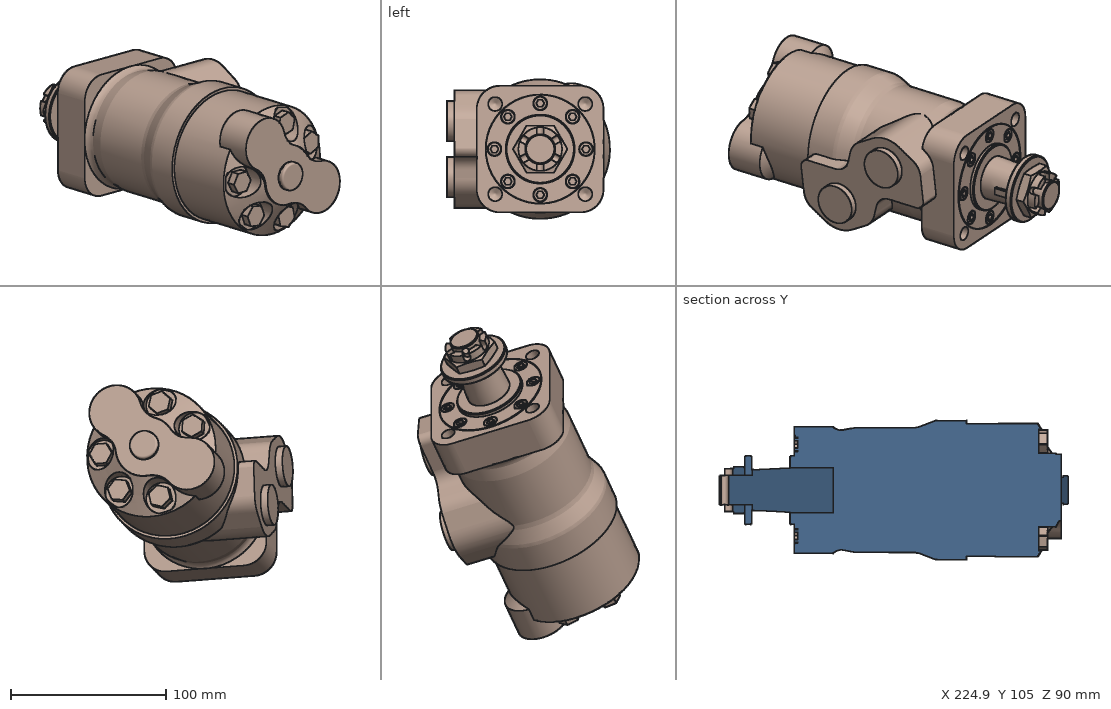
import cadquery as cq
import math


flange_width = 81.6
flange_thickness = 25.2
flange_corner_radius = 14.8
mount_hole_dia = 9
mount_hole_depth = 18
mount_hole_offset = 29.0
tip_angle = 118

cover_dia = 70.0
cover_gap = 0.2
cover_gap_depth = 0.5
screw_count = 8
screw_circle_radius = 29.5
screw_hole_dia = 9
screw_head_dia = 8.3
screw_recess_depth = 2.2
screw_socket_width = 4.5
seal_ring_dia = 44.5
seal_ring_height = 2.7
seal_ring_chamfer = 0.7

neck_radius = 38.7
neck_fillet_height = 2.2
neck_end = 30.5
barrel_start = 39.1
barrel_radius = 40.3
barrel_end = 79.0
collar_start = 91.0
collar_radius = 45
collar_end = 111.0
barrel_blend_radius = 9
collar_blend_radius = 6.7

cap_radius = 86.0 / 2
cap_rim = 157.0
hub_start = 171
hub_radius = 19.8
bolt_count = 7
bolt_circle_radius = 32.2
bolt_pocket_radius = 10.3
bolt_pocket_floor = 157.7
bolt_head_width = 13.0
bolt_head_height = 5.6

boss_radius = 17.3
boss_rim = 147.8
rear_face = 172.0
boss_places = (3, 6)
boss_fillet = 16.2

block_center = 61.6
block_face = 55.3
block_half_outline = [
    (-47.7, 0.5, 5.6),
    (-45.5, 19.3, 0),
    (-39.4, 28.3, 12.5),
    (-28.1, 35.3, 0),
    (-7.9, 35.3, 20.2),
    (3.5, 28.8, 0),
    (9.7, 18.7, 15.0),
    (11.0, 13.0, 0),
    (20.5, 5.0, -10.3),
    (42.0, 5.0, 0),
]
port_dia = 26.0
port_height = 4.7
port_offset = 18

shaft_tip = -48.1
thread_dia = 19.3
thread_chamfer = 0.7
taper_start_radius = 13.3
taper_end = -4.0
journal_radius = 14.5
split_pin_hole_dia = 4.5
split_pin_hole_x = -44.5

crown_face = -44.8
hex_face = -39.1
nut_rear = -32.0
crown_dia = 28.1
nut_width = 30.4
nut_chamfer = 1.0
slot_count = 6
slot_width = 4.5
slot_depth = 5.2
washer_dia = 44.5
washer_rear = -27.2
washer_chamfer = 0.7

key_width = 4.5
key_length = 12.8
key_bottom = 10.5
key_top = 15.5

plug_neck_dia = 17.0
plug_head_dia = 18.7
plug_head_start = 173.2
plug_end = 176.8
plug_round = 1.3


def rod(start, end, dia, y=0, z=0):
    """Cylinder parallel to X from start to end."""
    return cq.Workplane("YZ", origin=(start, y, z)).circle(dia / 2).extrude(end - start)


def hex_rod(start, end, width, y=0, z=0, turn=0):
    """Hexagonal prism parallel to X, with a corner toward +Y before it is turned."""
    plane = cq.Workplane("YZ", origin=(start, y, z)).transformed(rotate=(0, 0, turn))
    return plane.polygon(6, width / math.cos(math.pi / 6)).extrude(end - start)


def revolved(points):
    """Solid of revolution about X from a closed outline of (x, radius) points."""
    return cq.Workplane("XY").polyline(points).close().revolve(360, (0, 0), (1, 0))


def bolt_place(number):
    """Y, Z and angle of one of the evenly spaced cap bolts, counted from the -Y side."""
    angle = 180 + number * 360 / bolt_count
    turn = math.radians(angle)
    return bolt_circle_radius * math.cos(turn), bolt_circle_radius * math.sin(turn), angle


def make_barrel():
    barrel = revolved(
        [
            (0, 0),
            (0, neck_radius),
            (neck_end, neck_radius),
            (barrel_start, barrel_radius),
            (barrel_end, barrel_radius),
            (collar_start, collar_radius),
            (collar_end, collar_radius),
            (collar_end, cap_radius),
            (cap_rim, cap_radius),
            (hub_start, hub_radius),
            (rear_face, hub_radius),
            (rear_face, 0),
        ]
    )
    for corner_x, radius in ((barrel_end, barrel_blend_radius), (collar_start, collar_blend_radius)):
        corner = cq.selectors.NearestToPointSelector((corner_x, 0, 0))
        barrel = barrel.edges("%CIRCLE").edges(corner).fillet(radius)
    return barrel


def make_neck_fillet():
    """Concave ring from the rear face of the flange down to the end of the neck."""
    length = neck_end - flange_thickness
    radius = (length**2 + neck_fillet_height**2) / (2 * neck_fillet_height)
    return (
        cq.Workplane("XY")
        .moveTo(flange_thickness, 0)
        .lineTo(flange_thickness, neck_radius + neck_fillet_height)
        .radiusArc((neck_end, neck_radius), -radius)
        .lineTo(neck_end, 0)
        .close()
        .revolve(360, (0, 0), (1, 0))
    )


def make_flange():
    flange = cq.Workplane("YZ").rect(flange_width, flange_width).extrude(flange_thickness)
    return flange.edges("|X").fillet(flange_corner_radius)


def make_port_block():
    half = block_half_outline
    points = half + [(-x, -z, radius) for x, z, radius in half]
    outline = cq.Workplane("XZ", origin=(block_center, 0, 0)).moveTo(*points[-1][:2])
    for x, z, radius in points:
        if radius:
            outline = outline.radiusArc((x, z), radius)
        else:
            outline = outline.lineTo(x, z)
    block = outline.close().extrude(-block_face)
    for side in (-1, 1):
        port = (
            cq.Workplane("XZ", origin=(block_center + side * port_offset, block_face, -side * port_offset))
            .circle(port_dia / 2)
            .extrude(-port_height)
        )
        block = block.union(port)
    return block


def make_rear_boss(number):
    """Round boss with a conical front end that runs into the cap."""
    tip = boss_rim - boss_radius / math.tan(math.radians(tip_angle / 2))
    y, z, _ = bolt_place(number)
    boss = revolved([(tip, 0), (boss_rim, boss_radius), (rear_face, boss_radius), (rear_face, 0)])
    return boss.translate((0, y, z))


def make_boss_fillets(number):
    """Hollow blends between the hub and the two sides of a rear boss."""
    y, z, angle = bolt_place(number)
    hub_side = hub_radius + boss_fillet
    boss_side = boss_radius + boss_fillet
    cosine = (hub_side**2 + bolt_circle_radius**2 - boss_side**2) / (2 * hub_side * bolt_circle_radius)
    swing = math.acos(cosine)
    fillets = cq.Workplane("YZ")
    for side in (-1, 1):
        turn = math.radians(angle) + side * swing
        center = (hub_side * math.cos(turn), hub_side * math.sin(turn))
        web = (
            cq.Workplane("YZ", origin=(cap_rim, 0, 0))
            .polyline([(0, 0), center, (y, z)])
            .close()
            .extrude(rear_face - cap_rim)
        )
        fillets = fillets.add(web.cut(rod(cap_rim, rear_face, 2 * boss_fillet, *center)))
    return fillets.combine()


def add_cap_bolts(body):
    """Round pockets in the cone of the cap, each with a hexagonal bolt head in it."""
    head_end = bolt_pocket_floor + bolt_head_height
    places = [bolt_place(number) for number in range(bolt_count) if number not in boss_places]
    for y, z, _ in places:
        body = body.cut(rod(bolt_pocket_floor, rear_face, 2 * bolt_pocket_radius, y, z))
    for y, z, angle in places:
        body = body.union(hex_rod(bolt_pocket_floor, head_end, bolt_head_width, y, z, angle))
    return body


def cut_mount_holes(body):
    tip_x = mount_hole_depth + mount_hole_dia / 2 / math.tan(math.radians(tip_angle / 2))
    radius = mount_hole_dia / 2
    hole = revolved([(0, 0), (0, radius), (mount_hole_depth, radius), (tip_x, 0)])
    for y in (-mount_hole_offset, mount_hole_offset):
        for z in (-mount_hole_offset, mount_hole_offset):
            body = body.cut(hole.translate((0, y, z)))
    return body


def cut_front_cover(body):
    """Gap around the cover, and ring gaps and sockets of the cover screws."""
    gap = rod(0, cover_gap_depth, cover_dia + 2 * cover_gap).cut(rod(0, cover_gap_depth, cover_dia))
    body = body.cut(gap)
    for number in range(screw_count):
        turn = 2 * math.pi * number / screw_count
        y = screw_circle_radius * math.cos(turn)
        z = screw_circle_radius * math.sin(turn)
        ring = rod(0, screw_recess_depth, screw_hole_dia, y, z)
        ring = ring.cut(rod(0, screw_recess_depth, screw_head_dia, y, z))
        body = body.cut(ring).cut(hex_rod(0, screw_recess_depth, screw_socket_width, y, z))
    return body


def make_housing():
    housing = make_barrel().union(make_flange()).union(make_neck_fillet()).union(make_port_block())
    for number in boss_places:
        housing = housing.union(make_rear_boss(number)).union(make_boss_fillets(number))
    housing = add_cap_bolts(housing)
    housing = cut_front_cover(cut_mount_holes(housing))
    seal_ring = rod(-seal_ring_height, 0, seal_ring_dia).edges("<X").chamfer(seal_ring_chamfer)
    housing = housing.union(seal_ring)
    return housing.cut(rod(-seal_ring_height, flange_thickness, 2 * journal_radius))


def make_key():
    return cq.Workplane("XY").box(key_length, key_top - key_bottom, key_width).translate(
        (washer_rear + key_length / 2, (key_top + key_bottom) / 2, 0)
    )


def make_shaft(key):
    thread_radius = thread_dia / 2
    shaft = revolved(
        [
            (shaft_tip, 0),
            (shaft_tip, thread_radius - thread_chamfer),
            (shaft_tip + thread_chamfer, thread_radius),
            (washer_rear, thread_radius),
            (washer_rear, taper_start_radius),
            (taper_end, journal_radius),
            (flange_thickness, journal_radius),
            (flange_thickness, 0),
        ]
    )
    pin_hole = (
        cq.Workplane("XY", origin=(split_pin_hole_x, 0, 0))
        .circle(split_pin_hole_dia / 2)
        .extrude(thread_dia, both=True)
    )
    return shaft.cut(pin_hole).cut(key)


def make_washer():
    washer = rod(nut_rear, washer_rear, washer_dia).edges().chamfer(washer_chamfer)
    return washer.cut(rod(nut_rear, washer_rear, thread_dia))


def make_nut():
    corner_radius = nut_width / math.sqrt(3)
    crown_radius = crown_dia / 2
    chamfer_cone = revolved(
        [
            (hex_face, 0),
            (hex_face, crown_radius),
            (hex_face + nut_chamfer, corner_radius),
            (nut_rear - nut_chamfer, corner_radius),
            (nut_rear, crown_radius),
            (nut_rear, 0),
        ]
    )
    nut = hex_rod(hex_face, nut_rear, nut_width).intersect(chamfer_cone)
    nut = nut.union(rod(crown_face, hex_face, crown_dia))
    nut = nut.cut(rod(crown_face, nut_rear, thread_dia))
    slot_length = 2 * slot_depth
    slot = (
        cq.Workplane("XY", origin=(crown_face, 0, 0))
        .slot2D(slot_length, slot_width)
        .extrude(crown_dia)
    )
    for number in range(slot_count):
        nut = nut.cut(slot.rotate((0, 0, 0), (1, 0, 0), number * 360 / slot_count))
    return nut


def make_drain_plug():
    head = rod(plug_head_start, plug_end, plug_head_dia).edges(">X").fillet(plug_round)
    return head.union(rod(rear_face, plug_head_start, plug_neck_dia))


housing = make_housing()
key = make_key()
shaft = make_shaft(key)
washer = make_washer()
nut = make_nut()
drain_plug = make_drain_plug()

result = cq.Compound.makeCompound(
    [housing.val(), shaft.val(), key.val(), washer.val(), nut.val(), drain_plug.val()]
)